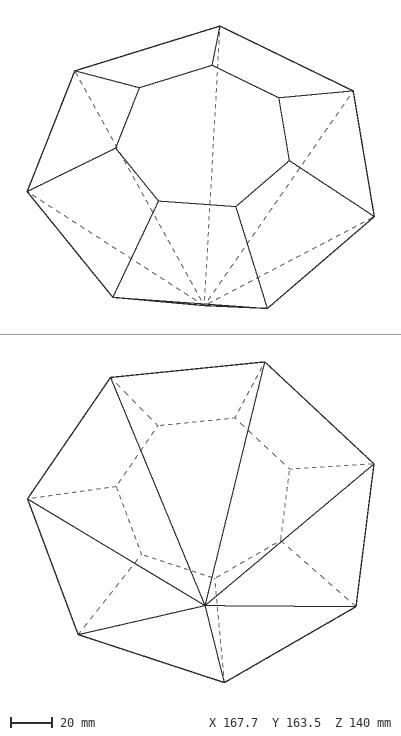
import cadquery as cq
import math

SIDES = 7
GEM_WIDTH = 167.7
CROWN_HEIGHT = 28.0
PAVILION_DEPTH = 112.0
TABLE_RATIO = 0.5

GIRDLE_RADIUS = GEM_WIDTH / (2 * math.cos(math.pi / (2 * SIDES)))
TABLE_RADIUS = GIRDLE_RADIUS * TABLE_RATIO


def ring(radius, height):
    """Corners of a level regular polygon centred on Z, with the first corner toward +Y."""
    step = 2 * math.pi / SIDES
    return [
        cq.Vector(-radius * math.sin(i * step), radius * math.cos(i * step), height)
        for i in range(SIDES)
    ]


def facet(*corners):
    """Flat face through the given corners."""
    return cq.Face.makeFromWires(cq.Wire.makePolygon(list(corners), close=True))


def solid_from(faces):
    """Solid enclosed by a closed set of facets."""
    return cq.Solid.makeSolid(cq.Shell.makeShell(faces))


def make_crown():
    """Upper frustum between the girdle and the table."""
    girdle = ring(GIRDLE_RADIUS, 0)
    table = ring(TABLE_RADIUS, CROWN_HEIGHT)
    sides = [facet(girdle[i - 1], girdle[i], table[i], table[i - 1]) for i in range(SIDES)]
    return solid_from([facet(*girdle), facet(*table), *sides])


def make_pavilion():
    """Lower pyramid from the girdle down to a sharp point."""
    girdle = ring(GIRDLE_RADIUS, 0)
    point = cq.Vector(0, 0, -PAVILION_DEPTH)
    sides = [facet(girdle[i - 1], girdle[i], point) for i in range(SIDES)]
    return solid_from([facet(*girdle), *sides])


crown = make_crown()
pavilion = make_pavilion()

result = cq.Compound.makeCompound([crown, pavilion])